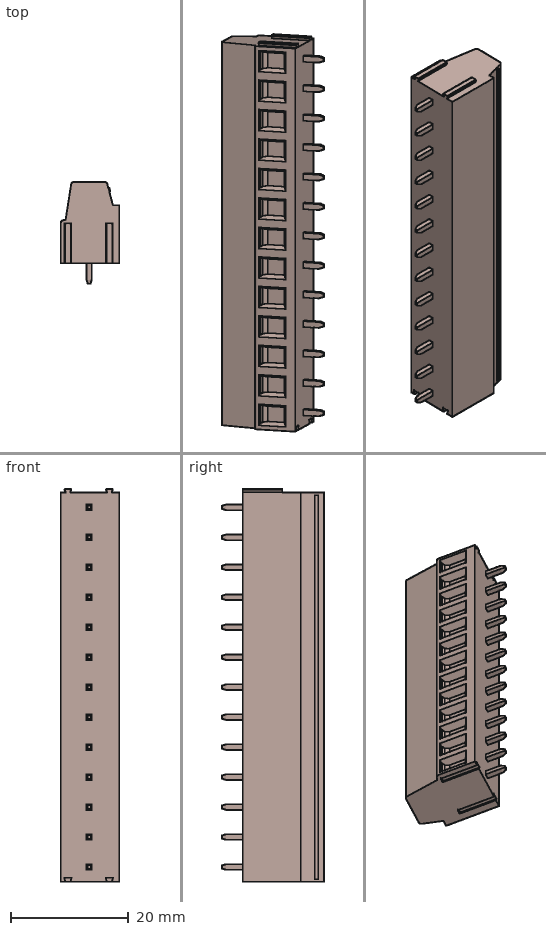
import cadquery as cq


pole_count = 13
pitch = 5.08
end_margin = 2.54
row_length = (pole_count - 1) * pitch
body_bottom = -end_margin
body_top = row_length + end_margin
body_length = body_top - body_bottom

body_width = 10.0
body_height = 13.8
front_height = 7.2
front_edge_radius = 0.6
ledge_width = 0.85
ledge_height = 7.4
rear_height = 9.85
rear_shoulder = 1.1
crown_left = 1.85
crown_right = 7.85
crown_edge_radius = 0.5

ridge_upper = 12.8
ridge_lower = 12.2
ridge_height = 0.18
ridge_end_gap = 0.5

dovetail_positions = (1.25, 8.28)
dovetail_length = 6.75
rib_height = 0.6
groove_depth = 0.75
dovetail_root = 0.8
dovetail_crest = 1.3
rib_edge_chamfer = 0.17

window_low = 1.65
window_high = 6.5
window_height = 3.65
window_depth = 1.3
window_offset = 0.02
floor_low = 2.35
floor_high = 5.3
floor_height = 2.62
rim_depth = 0.6
step_high = 6.35
step_low = 6.1
step_depth = 1.0

pin_x = 4.85
pin_width = 0.9
pin_thickness = 1.0
pin_length = 3.5
tip_length = 0.7
tip_width = 0.5
tip_thickness = 0.55


def polygon_prism(points, bottom, length):
    """Prism along Z from an XY outline."""
    return cq.Workplane("XY").workplane(offset=bottom).polyline(points).close().extrude(length)


def make_body():
    block = polygon_prism(
        [
            (0, 0),
            (body_width, 0),
            (body_width, rear_height),
            (body_width - rear_shoulder, rear_height),
            (crown_right, body_height),
            (crown_left, body_height),
            (ledge_width, ledge_height),
            (0, front_height),
        ],
        body_bottom,
        body_length,
    )
    middle_z = (body_bottom + body_top) / 2
    front_edge = cq.selectors.NearestToPointSelector((0, front_height, middle_z))
    block = block.edges(front_edge).fillet(front_edge_radius)
    for crown_x in (crown_left, crown_right):
        crown_edge = cq.selectors.NearestToPointSelector((crown_x, body_height, middle_z))
        block = block.edges(crown_edge).fillet(crown_edge_radius)
    return block


def back_flank_x(y):
    """X of the sloped back flank at height y."""
    foot_x = body_width - rear_shoulder
    return foot_x + (crown_right - foot_x) * (y - rear_height) / (body_height - rear_height)


def make_ridge():
    upper_x = back_flank_x(ridge_upper)
    lower_x = back_flank_x(ridge_lower)
    return polygon_prism(
        [
            (upper_x - ridge_height, ridge_upper),
            (upper_x + ridge_height, ridge_upper),
            (lower_x + ridge_height, ridge_lower),
            (lower_x - ridge_height, ridge_lower),
        ],
        body_bottom + ridge_end_gap,
        body_length - 2 * ridge_end_gap,
    )


def make_dovetail(x, base, height):
    """Dovetail bar along Y standing on the plane z = base, wider at its crest."""
    outline = [
        (x - dovetail_root / 2, base),
        (x + dovetail_root / 2, base),
        (x + dovetail_crest / 2, base + height),
        (x - dovetail_crest / 2, base + height),
    ]
    return cq.Workplane("XZ").polyline(outline).close().extrude(-dovetail_length)


def make_rib(x):
    rib = make_dovetail(x, body_top, rib_height)
    return rib.faces(">Z").edges("|Y").chamfer(rib_edge_chamfer)


def make_window(pole_z):
    """Tapered pocket in the -X face: a Y profile crossed with a Z profile."""
    center_z = pole_z + window_offset
    y_taper = polygon_prism(
        [
            (0, window_low),
            (window_depth, floor_low),
            (window_depth, floor_high),
            (step_depth, step_low),
            (rim_depth, step_high),
            (rim_depth, window_high),
            (0, window_high),
        ],
        center_z - window_height / 2,
        window_height,
    )
    z_outline = [
        (0, center_z - window_height / 2),
        (window_depth, center_z - floor_height / 2),
        (window_depth, center_z + floor_height / 2),
        (0, center_z + window_height / 2),
    ]
    z_taper = cq.Workplane("XZ").polyline(z_outline).close().extrude(-body_height)
    return y_taper.intersect(z_taper)


def make_pin(pole_z):
    shank_length = pin_length - tip_length
    shank = (
        cq.Workplane("XZ", origin=(pin_x, 0, pole_z))
        .rect(pin_width, pin_thickness)
        .extrude(shank_length)
    )
    tip = (
        cq.Workplane("XZ", origin=(pin_x, -shank_length, pole_z))
        .rect(pin_width, pin_thickness)
        .workplane(offset=tip_length)
        .rect(tip_width, tip_thickness)
        .loft(combine=True)
    )
    return shank.union(tip)


result = make_body().union(make_ridge())

for dovetail_x in dovetail_positions:
    result = result.union(make_rib(dovetail_x))
    result = result.cut(make_dovetail(dovetail_x, body_bottom, groove_depth))

for pole in range(pole_count):
    result = result.cut(make_window(pole * pitch))
    result = result.union(make_pin(pole * pitch))